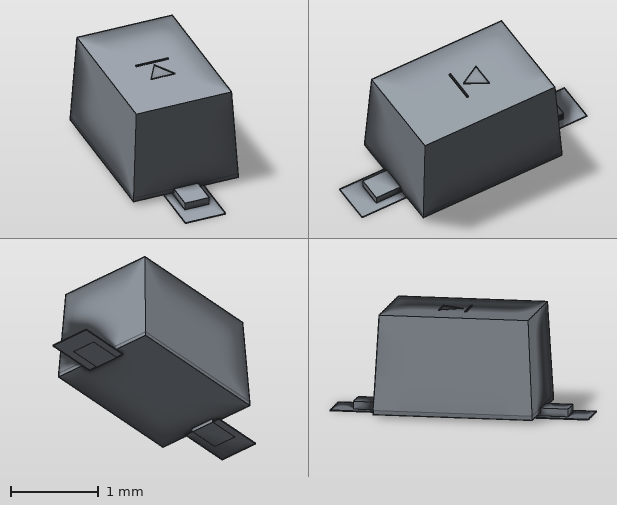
import cadquery as cq
import math

body_length = 1.85
body_width = 1.3
body_bottom = 0.05
parting_height = 0.1
body_top = 1.2
draft_angle = 3.0

overall_length = 3.0
lead_tip_span = 2.5
lead_inner_span = 1.7
lead_width = 0.3
lead_top = parting_height
pad_width = 0.5
pad_thickness = 0.01

mark_depth = 0.01
triangle_side = 0.3
triangle_half_angle = 30.0
triangle_tip_x = 0.0
cathode_bar_length = 0.4
cathode_bar_width = 0.02
cathode_bar_x = -0.06


def make_body():
    base = (
        cq.Workplane("XY")
        .workplane(offset=body_bottom)
        .rect(body_length, body_width)
        .extrude(parting_height - body_bottom)
    )
    upper = (
        cq.Workplane("XY")
        .workplane(offset=parting_height)
        .rect(body_length, body_width)
        .extrude(body_top - parting_height, taper=draft_angle)
    )
    return base.union(upper, clean=False)


def make_end_bar(side, outer_span, width, height):
    """Flat bar from the lead's inner end outwards; side is -1 or +1 along X."""
    length = (outer_span - lead_inner_span) / 2
    center_x = side * (outer_span + lead_inner_span) / 4
    return cq.Workplane("XY").center(center_x, 0).rect(length, width).extrude(height)


def make_lead(side):
    block = make_end_bar(side, lead_tip_span, lead_width, lead_top)
    pad = make_end_bar(side, overall_length, pad_width, pad_thickness)
    return block.union(pad)


def make_diode_mark():
    floor = cq.Workplane("XY").workplane(offset=body_top - mark_depth)
    triangle_base_x = triangle_tip_x + triangle_side * math.cos(math.radians(triangle_half_angle))
    triangle = (
        floor.moveTo(triangle_tip_x, 0)
        .lineTo(triangle_base_x, triangle_side / 2)
        .lineTo(triangle_base_x, -triangle_side / 2)
        .close()
        .extrude(mark_depth)
    )
    cathode_bar = (
        floor.center(cathode_bar_x, 0)
        .rect(cathode_bar_width, cathode_bar_length)
        .extrude(mark_depth)
    )
    return triangle.union(cathode_bar)


part = make_body()
for side in (-1, 1):
    part = part.union(make_lead(side), clean=False)

result = part.cut(make_diode_mark(), clean=False)